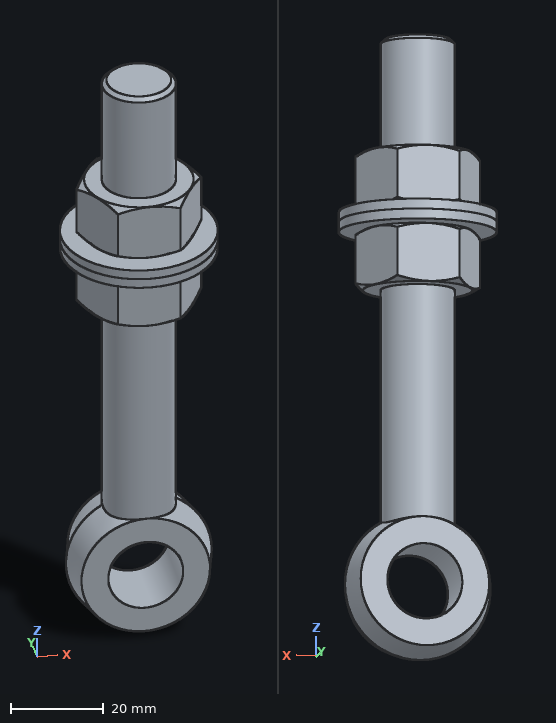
import cadquery as cq
import math

total_length = 136.0
rod_diameter = 16.0
tip_diameter = 14.0
tip_chamfer_height = 1.0
eye_rim_diameter = 32.1
eye_face_diameter = 28.3
eye_width = rod_diameter
eye_hole_diameter = 16.5

full_turn = 360.0

nut_top_to_rod_end = 25.0
nut_sides = 6
nut_height = 12.8
nut_across_flats = 23.8
nut_face_diameter = 23.7
nut_chamfer_angle = 30.0
washer_diameter = 34.1
washer_thickness = 2.2

eye_center_z = eye_rim_diameter / 2
upper_nut_z = total_length - nut_top_to_rod_end - nut_height
upper_washer_z = upper_nut_z - washer_thickness
lower_washer_z = upper_washer_z - washer_thickness
lower_nut_z = lower_washer_z - nut_height


def make_eye():
    """Disc whose rim is two cones meeting in a ridge at the mid-plane, centred on the origin."""
    half_width = eye_width / 2
    profile = [
        (0, -half_width),
        (eye_face_diameter / 2, -half_width),
        (eye_rim_diameter / 2, 0),
        (eye_face_diameter / 2, half_width),
        (0, half_width),
    ]
    return cq.Workplane("XY").polyline(profile).close().revolve(full_turn, (0, 0, 0), (0, 1, 0))


def make_rod():
    """Rod from the eye centre up to a chamfered tip, turned about Z.

    The profile lies in the YZ plane, so the seam of the rod falls on the line where it
    touches the flat face of the eye.
    """
    rod_radius = rod_diameter / 2
    profile = [
        (0, eye_center_z),
        (rod_radius, eye_center_z),
        (rod_radius, total_length - tip_chamfer_height),
        (tip_diameter / 2, total_length),
        (0, total_length),
    ]
    return cq.Workplane("YZ").polyline(profile).close().revolve(full_turn, (0, 0, 0), (0, 1, 0))


def make_eye_bolt():
    """Rod and eye as one solid, with the hole through the eye along Y."""
    eye_hole = cq.Workplane("XZ", origin=(0, eye_width / 2, eye_center_z))
    eye_hole = eye_hole.circle(eye_hole_diameter / 2).extrude(eye_width)
    eye = make_eye().translate((0, 0, eye_center_z))
    return eye.union(make_rod()).cut(eye_hole).solids()


def make_nut(base_z):
    """Hex nut with two corners along X, its corners chamfered at both ends, bored to fit the rod."""
    across_corners = nut_across_flats / math.cos(math.pi / nut_sides)
    corner_radius = across_corners / 2
    face_radius = nut_face_diameter / 2
    chamfer_drop = (corner_radius - face_radius) * math.tan(math.radians(nut_chamfer_angle))

    prism = cq.Workplane("XY").polygon(nut_sides, across_corners).extrude(nut_height)
    envelope_profile = [
        (0, 0),
        (face_radius, 0),
        (corner_radius, chamfer_drop),
        (corner_radius, nut_height - chamfer_drop),
        (face_radius, nut_height),
        (0, nut_height),
    ]
    envelope = cq.Workplane("XZ").polyline(envelope_profile).close().revolve(full_turn, (0, 0, 0), (0, 1, 0))
    bore = cq.Workplane("XY").circle(rod_diameter / 2).extrude(nut_height)
    return prism.intersect(envelope).cut(bore).translate((0, 0, base_z)).solids()


def make_washer(base_z):
    """Flat ring fitting the rod."""
    ring = cq.Workplane("XY").circle(washer_diameter / 2).circle(rod_diameter / 2)
    return ring.extrude(washer_thickness).translate((0, 0, base_z))


eye_bolt = make_eye_bolt()
nuts = [make_nut(base_z) for base_z in (lower_nut_z, upper_nut_z)]
washers = [make_washer(base_z) for base_z in (lower_washer_z, upper_washer_z)]

result = cq.Compound.makeCompound([
    eye_bolt.val(),
    *[nut.val() for nut in nuts],
    *[washer.val() for washer in washers],
])